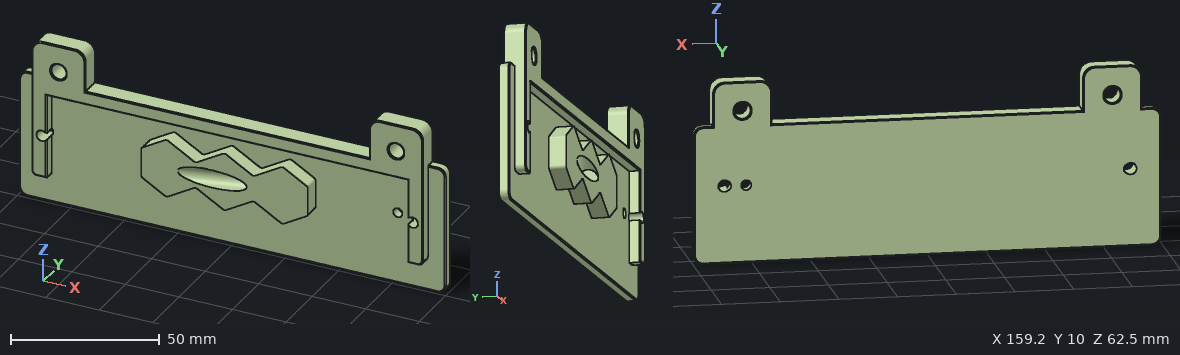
import cadquery as cq
import math

plate_width = 159.2
plate_height = 47.5
plate_thickness = 4.0
plate_corner_radius = 3.0

frame_thickness = 8.0
frame_half_width = 73.0
tab_inner_x = 53.0
tab_top = 62.5
tab_corner_radius = 4.0
rib_inner_x = 67.5
rib_bottom = 11.0
rib_corner_radius = 1.9
bar_bottom = 42.5
edge_chamfer = 0.4

tab_hole_diameter = 5.5
tab_hole_x = (frame_half_width + tab_inner_x) / 2
tab_hole_z = 52.5
mid_height = 26.7
rib_hole_diameter = 4.0
rib_hole_x = 69.3
pin_hole_diameter = 3.3
notch_hole_x = 68.6
pin_hole_x = 61.8

handle_front = 10.0
lobe_pitch = 21.7
lobe_radius = 11.0
lobe_slope = math.radians(30)
lobe_apothem = lobe_radius * math.cos(lobe_slope)
handle_edge_radius = 1.3

slant_hole_diameter = 6.7
slant_angle = 15.0
slant_hole_x = -4.6
slant_hole_length = 15.9


def through_holes(diameter, places):
    """Round cutters along Y, longer than the part is deep."""
    return cq.Workplane("XZ").pushPoints(places).circle(diameter / 2).extrude(handle_front)


def make_plate():
    plate = cq.Workplane("XZ").center(0, plate_height / 2).rect(plate_width, plate_height)
    plate = plate.extrude(plate_thickness).edges("|Y").fillet(plate_corner_radius)
    return plate.faces("<Y").chamfer(edge_chamfer)


def make_frame():
    """Half frame at +X, mirrored; its front outline is chamfered."""
    right_half = [
        (0, plate_height),
        (tab_inner_x, plate_height),
        (tab_inner_x, tab_top),
        (frame_half_width, tab_top),
        (frame_half_width, rib_bottom),
        (rib_inner_x, rib_bottom),
        (rib_inner_x, bar_bottom),
        (0, bar_bottom),
    ]
    frame = cq.Workplane("XZ").polyline(right_half).close().extrude(frame_thickness)
    frame = frame.edges("|Y and >Z").fillet(tab_corner_radius)
    frame = frame.edges("|Y and >X and <Z").fillet(rib_corner_radius)
    frame = frame.union(frame.mirror("YZ")).clean()
    return frame.faces("<Y").chamfer(edge_chamfer)


def make_handle():
    lobe_flat = lobe_radius * math.sin(lobe_slope)
    valley = lobe_radius - lobe_pitch / 2 * math.tan(lobe_slope)
    end_x = lobe_pitch + lobe_apothem
    upper = [
        (-end_x, lobe_flat),
        (-lobe_pitch, lobe_radius),
        (-lobe_pitch / 2, valley),
        (0, lobe_radius),
        (lobe_pitch / 2, valley),
        (lobe_pitch, lobe_radius),
        (end_x, lobe_flat),
    ]
    lower = [(x, -z) for x, z in reversed(upper)]
    handle = cq.Workplane("XZ").center(0, mid_height).polyline(upper + lower).close()
    return handle.extrude(handle_front).edges("|Y").fillet(handle_edge_radius)


def make_slant_hole():
    """Cylinder centred on the hole's mouth: its inner half is the blind hole, the rest is in the open."""
    angle = math.radians(slant_angle)
    axis = cq.Vector(math.cos(angle), math.sin(angle), 0)
    mouth = cq.Vector(slant_hole_x, -handle_front, mid_height)
    start = mouth - axis * slant_hole_length
    return cq.Solid.makeCylinder(slant_hole_diameter / 2, 2 * slant_hole_length, start, axis)


body = make_plate().union(make_frame()).union(make_handle()).clean()

tab_holes = [(side * tab_hole_x, tab_hole_z) for side in (-1, 1)]
body = body.cut(through_holes(tab_hole_diameter, tab_holes))
body = body.faces(">Y").chamfer(edge_chamfer)
for hole_x, hole_z in tab_holes:
    rim = cq.selectors.NearestToPointSelector((hole_x, -frame_thickness, hole_z))
    body = body.edges("%CIRCLE").edges(rim).chamfer(edge_chamfer)

rib_holes = [(side * rib_hole_x, mid_height) for side in (-1, 1)]
pin_holes = [(x, mid_height) for x in (-notch_hole_x, pin_hole_x, notch_hole_x)]
body = body.cut(through_holes(rib_hole_diameter, rib_holes))
body = body.cut(through_holes(pin_hole_diameter, pin_holes))

result = body.cut(cq.Workplane(make_slant_hole()))